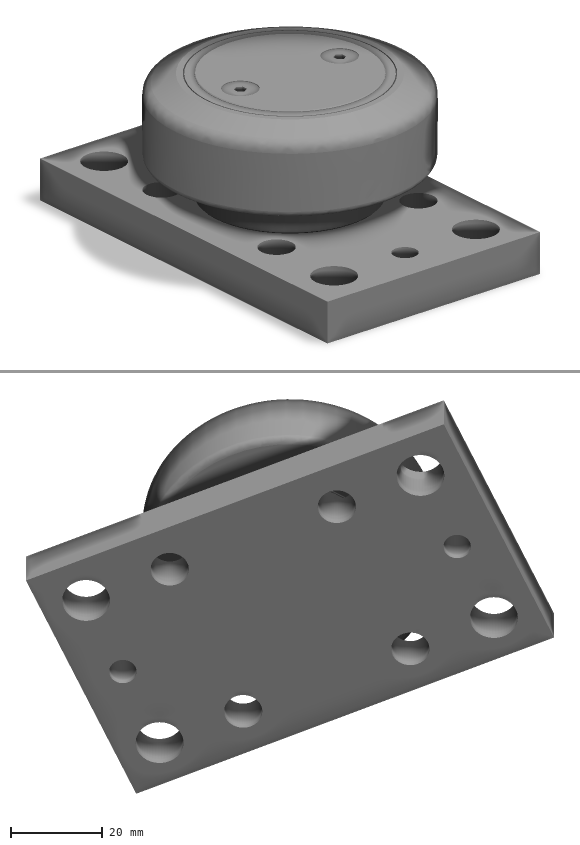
import cadquery as cq
import math

plate_length = 100
plate_width = 60
plate_thickness = 10

corner_hole_diameter = 10.5
corner_hole_spacing = (80, 40)
dowel_hole_diameter = 6
dowel_hole_spacing = 80
inner_hole_diameter = 8.4
inner_hole_spacing = (40, 40)

neck_diameter = 42
neck_chamfer = 0.3
shoulder_bottom = 18.3

roller_bottom = 18.8
roller_top = 39.2
roller_diameter = 64.8
crown_radius = 500
bottom_round = 1.5
shoulder_round = 3
top_face_diameter = 50
cone_angle = 22

groove_diameter = 47
groove_width = 0.3
groove_depth = 0.3

cap_top = 39.5
cap_diameter = 42
cap_chamfer = 0.2

screw_spacing = 28
screw_recess_diameter = 8.4
screw_recess_depth = 0.2
socket_across_flats = 2.5
socket_depth = 1.5


def cylinder(diameter, bottom, top):
    """Upright cylinder on the Z axis between two heights."""
    return cq.Workplane("XY").workplane(offset=bottom).circle(diameter / 2).extrude(top - bottom)


def corner_points(spacing_x, spacing_y):
    """Corners of a rectangle centered on the origin."""
    return [(x * spacing_x / 2, y * spacing_y / 2) for x in (-1, 1) for y in (-1, 1)]


def make_plate():
    plate = cq.Workplane("XY").box(
        plate_length, plate_width, plate_thickness, centered=(True, True, False)
    )
    hole_groups = [
        (corner_hole_diameter, corner_points(*corner_hole_spacing)),
        (inner_hole_diameter, corner_points(*inner_hole_spacing)),
        (dowel_hole_diameter, [(-dowel_hole_spacing / 2, 0), (dowel_hole_spacing / 2, 0)]),
    ]
    for diameter, centers in hole_groups:
        holes = cq.Workplane("XY").pushPoints(centers).circle(diameter / 2).extrude(plate_thickness)
        plate = plate.cut(holes)
    return plate


def make_neck():
    neck = cylinder(neck_diameter, plate_thickness, shoulder_bottom)
    neck = neck.faces(">Z or <Z").chamfer(neck_chamfer)
    shoulder = cylinder(neck_diameter, shoulder_bottom, roller_bottom)
    return neck.union(shoulder)


def crown_drop(height):
    """Loss of tread radius at a height away from the crown's middle."""
    return crown_radius - math.sqrt(crown_radius**2 - height**2)


def make_roller():
    tread_radius = roller_diameter / 2
    tread_middle = (roller_bottom + roller_top) / 2
    bottom_radius = tread_radius - crown_drop(tread_middle - roller_bottom)
    cone_drop = (tread_radius - top_face_diameter / 2) * math.tan(math.radians(cone_angle))
    cone_bottom = roller_top - cone_drop
    cone_radius = tread_radius - crown_drop(cone_bottom - tread_middle)
    roller = (
        cq.Workplane("XZ")
        .moveTo(0, roller_bottom)
        .lineTo(bottom_radius, roller_bottom)
        .threePointArc((tread_radius, tread_middle), (cone_radius, cone_bottom))
        .lineTo(top_face_diameter / 2, roller_top)
        .lineTo(0, roller_top)
        .close()
        .revolve(360, (0, 0), (0, 1))
    )
    roller = roller.faces("<Z").edges().fillet(bottom_round)
    roller = roller.faces("%CONE").edges("<Z").fillet(shoulder_round)
    groove_bottom = roller_top - groove_depth
    groove = cylinder(groove_diameter, groove_bottom, roller_top).cut(
        cylinder(groove_diameter - 2 * groove_width, groove_bottom, roller_top)
    )
    return roller.cut(groove)


def make_cap():
    cap = cylinder(cap_diameter, roller_top, cap_top)
    return cap.faces(">Z").edges().chamfer(cap_chamfer)


def make_screw_cut(y):
    """Shallow head recess with a hexagon socket in its floor."""
    floor = cap_top - screw_recess_depth
    recess = cylinder(screw_recess_diameter, floor, cap_top)
    socket_across_corners = socket_across_flats / math.cos(math.pi / 6)
    socket = (
        cq.Workplane("XY")
        .workplane(offset=floor)
        .polygon(6, socket_across_corners)
        .extrude(-socket_depth)
    )
    return recess.union(socket).translate((0, y, 0))


result = make_plate().union(make_neck()).union(make_roller()).union(make_cap())
for screw_y in (-screw_spacing / 2, screw_spacing / 2):
    result = result.cut(make_screw_cut(screw_y))